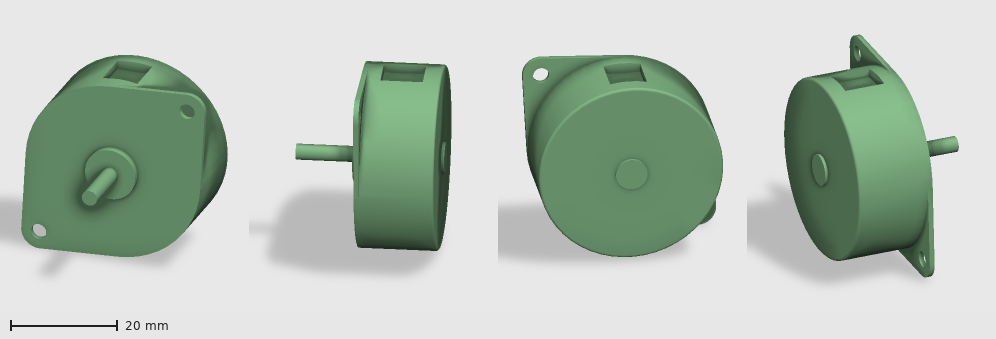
import cadquery as cq
import math

body_radius = 17.5
body_back = 15.0
body_edge_radius = 0.5

flange_thickness = 1.0
flange_half_size = 18.35
ear_radius = 3.5
ear_offset = flange_half_size - ear_radius
mount_hole_diameter = 3.0

boss_diameter = 10.0
boss_height = 1.5
shaft_diameter = 3.0
shaft_length = 11.0

cap_diameter = 6.0
cap_height = 0.6

pocket_width = 7.0
pocket_length = 8.0
pocket_center_y = 7.65
pocket_depth = 2.0


def cylinder(diameter, y_start, y_end):
    """Cylinder on the motor axis between two Y positions."""
    return (
        cq.Workplane("XZ", origin=(0, y_start, 0))
        .circle(diameter / 2)
        .extrude(y_start - y_end)
    )


def make_flange():
    """Central disc and two ear rounds joined by common tangent lines."""
    ear_distance = math.hypot(ear_offset, ear_offset)
    ear_direction = math.pi / 4
    tangent_angle = math.acos((body_radius - ear_radius) / ear_distance)

    def point(radius, angle, center=(0, 0)):
        return (
            center[0] + radius * math.cos(angle),
            center[1] + radius * math.sin(angle),
        )

    upper_ear = (ear_offset, ear_offset)
    lower_ear = (-ear_offset, -ear_offset)
    right_angle = ear_direction - tangent_angle
    left_angle = ear_direction + tangent_angle
    outline = (
        cq.Workplane("XZ")
        .moveTo(*point(ear_radius, right_angle, upper_ear))
        .threePointArc(
            point(ear_radius, ear_direction, upper_ear),
            point(ear_radius, left_angle, upper_ear),
        )
        .lineTo(*point(body_radius, left_angle))
        .threePointArc(
            point(body_radius, ear_direction + math.pi / 2),
            point(body_radius, right_angle + math.pi),
        )
        .lineTo(*point(ear_radius, right_angle + math.pi, lower_ear))
        .threePointArc(
            point(ear_radius, ear_direction + math.pi, lower_ear),
            point(ear_radius, left_angle + math.pi, lower_ear),
        )
        .lineTo(*point(body_radius, left_angle + math.pi))
        .threePointArc(
            point(body_radius, ear_direction - math.pi / 2),
            point(body_radius, right_angle),
        )
        .close()
    )
    holes = (
        cq.Workplane("XZ")
        .pushPoints([upper_ear, lower_ear])
        .circle(mount_hole_diameter / 2)
        .extrude(-flange_thickness)
    )
    return outline.extrude(-flange_thickness).cut(holes)


def make_body():
    """Round can with a softened back edge and a flat-bottomed pocket on top."""
    can = cylinder(2 * body_radius, 0, body_back).faces(">Y").edges().fillet(body_edge_radius)
    pocket = cq.Workplane("XY").box(
        pocket_width, pocket_length, pocket_depth, centered=(True, True, False)
    )
    return can.cut(pocket.translate((0, pocket_center_y, body_radius - pocket_depth)))


cap = cylinder(cap_diameter, body_back, body_back + cap_height)
boss = cylinder(boss_diameter, -boss_height, 0)
shaft = cylinder(shaft_diameter, -boss_height - shaft_length, -boss_height)

result = make_body().union(make_flange()).union(cap).union(boss).union(shaft)